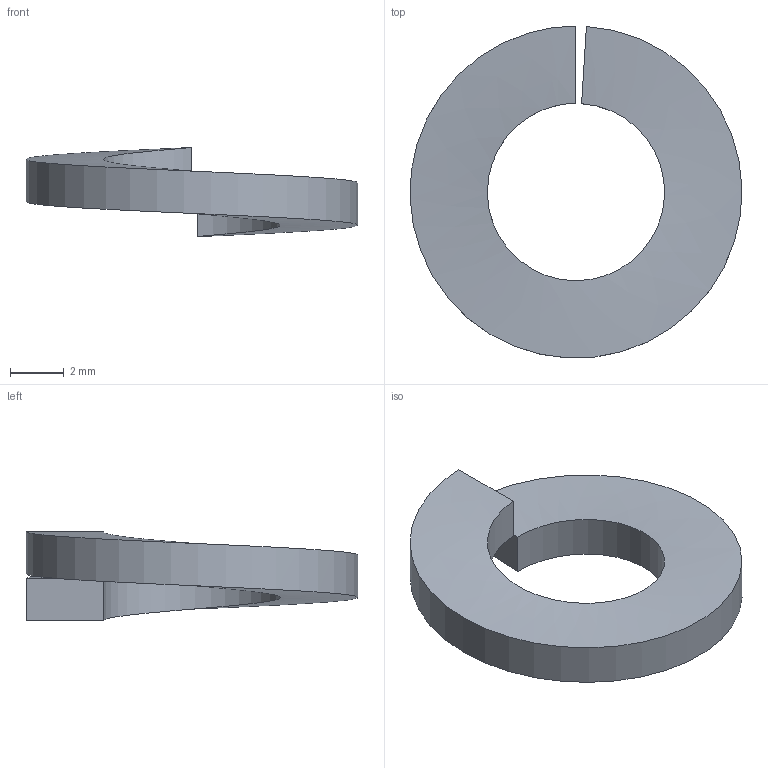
import cadquery as cq
import math

outer_diameter = 12.36
inner_diameter = 6.6
thickness = 1.575
overall_height = 3.31
gap_width_at_rim = 0.39

outer_radius = outer_diameter / 2
inner_radius = inner_diameter / 2
mid_radius = (outer_radius + inner_radius) / 2
section_width = outer_radius - inner_radius

gap_angle = math.degrees(2 * math.asin(gap_width_at_rim / outer_diameter))
wound_angle = 360 - gap_angle
rise = overall_height - thickness
pitch = rise * 360 / wound_angle

lower_end_angle = 90 - gap_angle


def wound_ring():
    """Sweep the section along the helix, starting on the +X axis with its base at Z = 0."""
    helix = cq.Wire.makeHelix(pitch, rise, mid_radius, lefthand=True)
    section = cq.Workplane("XZ").center(mid_radius, thickness / 2).rect(section_width, thickness)
    return section.sweep(cq.Workplane(helix), isFrenet=True)


result = wound_ring().rotate((0, 0, 0), (0, 0, 1), lower_end_angle)